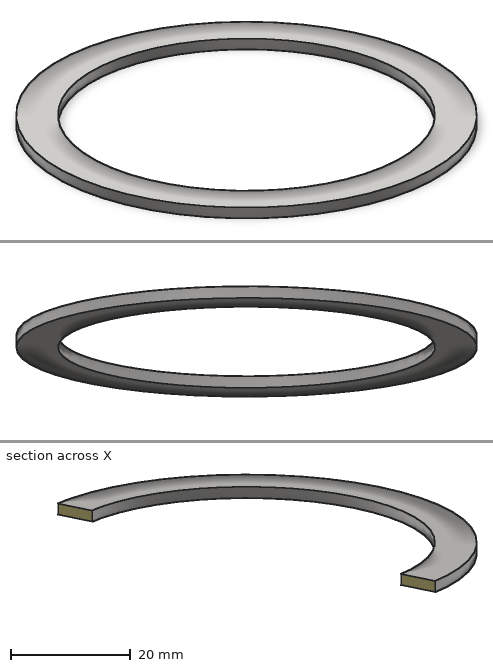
import cadquery as cq

outer_diameter = 77.0
inner_diameter = 63.0
thickness = 2.0

result = (
    cq.Workplane("XY")
    .circle(outer_diameter / 2)
    .circle(inner_diameter / 2)
    .extrude(thickness)
)